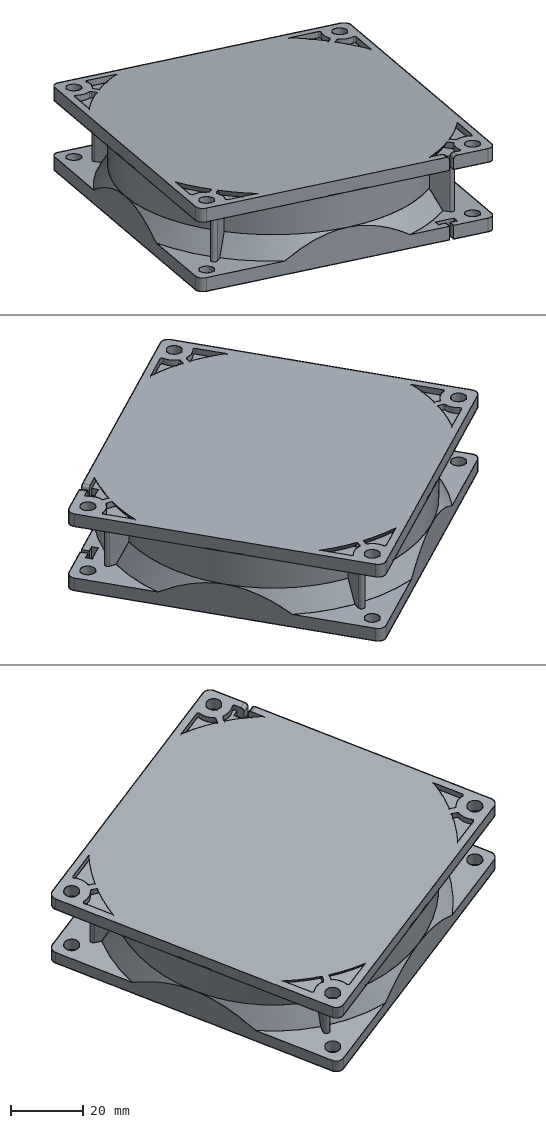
import cadquery as cq
import math

side = 92.0
height = 25.5
flange_thickness = 4.2
corner_radius = 2.3
half_side = side / 2
upper_flange_z = height - flange_thickness

hole_pitch = 82.5
hole_diameter = 4.4
hole_offset = hole_pitch / 2

drum_radius = half_side
flare_base_radius = 52.6
flare_height = 10.5
flare_slope = (flare_base_radius - drum_radius) / flare_height

web_thickness = 2.0
web_end_radius = 53.0

pocket_depth = 1.9
pocket_inner_radius = 51.3
pocket_corner_radius = 0.5
pocket_outer_offset = 43.7
pocket_start_offset = 25.4
pocket_rib_width = 2.0
hole_boss_radius = 5.2

cable_window_x = 41.8
cable_window_y_min = 29.5
cable_window_y_max = 35.2
cable_slot_center_y = 32.35
cable_slot_width = 1.25
cable_slot_edge_radius = 1.1


def box_between(x_range, y_range, z_range):
    """Box spanning the given ranges along X, Y and Z."""
    size = [end - start for start, end in (x_range, y_range, z_range)]
    origin = (x_range[0], y_range[0], z_range[0])
    return cq.Workplane("XY").box(*size, centered=False).translate(origin)


def make_flange(base_z):
    """Square plate with rounded corners and four mounting holes."""
    return (
        cq.Workplane("XY")
        .workplane(offset=base_z)
        .rect(side, side)
        .extrude(flange_thickness)
        .edges("|Z")
        .fillet(corner_radius)
        .faces(">Z")
        .workplane(origin=(0, 0, 0))
        .rect(hole_pitch, hole_pitch, forConstruction=True)
        .vertices()
        .hole(hole_diameter)
    )


def make_drum():
    """Flared drum, trimmed to the square outline of the frame."""
    drum = (
        cq.Workplane("XZ")
        .polyline([
            (0, 0),
            (flare_base_radius, 0),
            (drum_radius, flare_height),
            (drum_radius, height - pocket_depth),
            (0, height - pocket_depth),
        ])
        .close()
        .revolve(360, (0, 0, 0), (0, 1, 0))
    )
    frame_span = (-half_side, half_side)
    return drum.intersect(box_between(frame_span, frame_span, (0, height)))


def make_web(angle):
    """Radial web at the given angle, reaching from the axis to its rounded end."""
    outer_half = box_between((0, web_end_radius), (-web_thickness, web_thickness), (0, height))
    return (
        cq.Workplane("XY")
        .workplane(offset=flange_thickness)
        .slot2D(2 * web_end_radius, web_thickness)
        .extrude(upper_flange_z - flange_thickness)
        .intersect(outer_half)
        .rotate((0, 0, 0), (0, 0, 1), angle)
    )


def make_pocket():
    """Pocket beside the +X +Y corner, on the +Y side of its diagonal rib."""
    floor_z = height - pocket_depth
    rib_shift = pocket_rib_width / math.sqrt(2)
    start = pocket_start_offset
    outer = pocket_outer_offset
    pocket = (
        cq.Workplane("XY")
        .workplane(offset=floor_z)
        .polyline([(start, start + rib_shift), (outer - rib_shift, outer), (start, outer)])
        .close()
        .extrude(pocket_depth)
    )
    inner_cone = cq.Workplane("XY").add(
        cq.Solid.makeCone(
            pocket_inner_radius - pocket_depth * flare_slope,
            pocket_inner_radius,
            pocket_depth,
            pnt=cq.Vector(0, 0, floor_z),
        )
    )
    hole_boss = (
        cq.Workplane("XY")
        .workplane(offset=floor_z)
        .center(hole_offset, hole_offset)
        .circle(hole_boss_radius)
        .extrude(pocket_depth)
    )
    rounded = pocket.cut(hole_boss).edges("|Z").fillet(pocket_corner_radius)
    return rounded.cut(inner_cone)


def cut_pockets(flange):
    """Cut the mirrored pair of pockets at each of the four corners."""
    pocket = make_pocket()
    diagonal_mirror = pocket.mirror("XZ").rotate((0, 0, 0), (0, 0, 1), 90)
    for angle in range(0, 360, 90):
        for shape in (pocket, diagonal_mirror):
            flange = flange.cut(shape.rotate((0, 0, 0), (0, 0, 1), angle))
    return flange


def make_cable_window():
    """Opening beside the drum that the cable passes through."""
    return box_between(
        (cable_window_x, pocket_outer_offset), (cable_window_y_min, cable_window_y_max), (0, height)
    )


def make_cable_slot():
    """Slot from the window to the +X side, for laying the cable in."""
    half_width = cable_slot_width / 2
    y_range = (cable_slot_center_y - half_width, cable_slot_center_y + half_width)
    return box_between((pocket_outer_offset, half_side), y_range, (0, height))


def make_slot_edge_rounding():
    """Material removed where the slot walls round over into the top face."""
    r = cable_slot_edge_radius
    half_width = cable_slot_width / 2
    arc_middle = r * (1 - math.sqrt(0.5))
    return (
        cq.Workplane("YZ")
        .workplane(offset=pocket_outer_offset)
        .center(cable_slot_center_y, height)
        .moveTo(-half_width - r, 0)
        .threePointArc((-half_width - arc_middle, -arc_middle), (-half_width, -r))
        .lineTo(half_width, -r)
        .threePointArc((half_width + arc_middle, -arc_middle), (half_width + r, 0))
        .close()
        .extrude(half_side - pocket_outer_offset)
    )


cable_exit = make_cable_window().union(make_cable_slot())
lower_flange = make_flange(0).cut(cable_exit)
upper_flange = cut_pockets(make_flange(upper_flange_z)).cut(cable_exit).cut(make_slot_edge_rounding())

result = lower_flange.union(make_drum()).union(upper_flange)
for web_angle in range(45, 360, 90):
    result = result.union(make_web(web_angle))
result = result.clean()